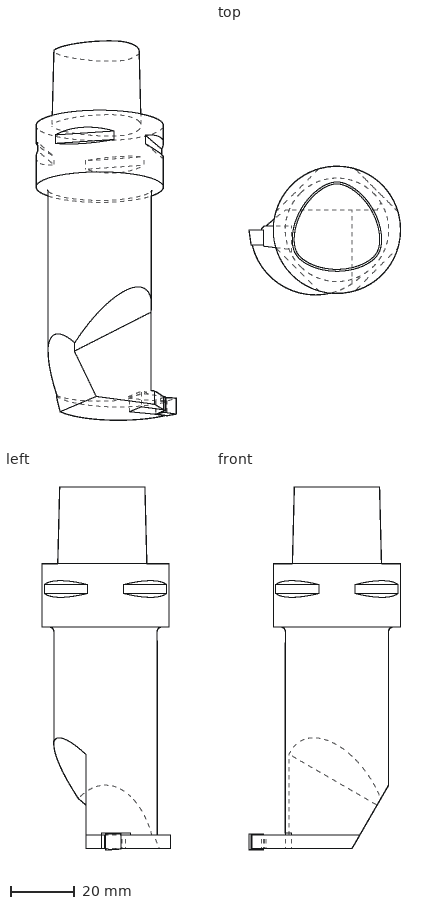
import cadquery as cq
import math

SHANK_TOP = 24.0
OVERALL_LENGTH = 114.0
TIP_BOTTOM = SHANK_TOP - OVERALL_LENGTH
FLANGE_HEIGHT = 20.0
PLATE_TOP = -85.2
PLATE_BOTTOM = -89.5

SHANK_DIAMETER = 28.0
LOBE_HEIGHT = 1.0
SHANK_TAPER = 1 / 20
LOBES = 3

FLANGE_DIAMETER = 40.0
COLUMN_DIAMETER = 32.5
COLUMN_RADIUS = COLUMN_DIAMETER / 2
NECK_FILLET = 1.4

NOTCH_COUNT = 4
NOTCH_FIRST_ANGLE = 45
NOTCH_FLOOR_RADIUS = 17.5
NOTCH_CENTER_Z = -8.0
NOTCH_FLOOR_HEIGHT = 2.7
NOTCH_RIM_HEIGHT = 5.2

FLAT_Y = 6.2
SLOPE_ANGLE = 60
SLOPE_TOP_Z = -69.5
RAMP_TOP_Z = -56.9
RAMP_TILT = 30
CUT_SIZE = 136.8

OVERALL_DEPTH = 40.5
PLATE_RADIUS = OVERALL_DEPTH - FLANGE_DIAMETER / 2
PLATE_CENTER_X = -6.7
HEEL_START = (-22.2, 1.3)
HEEL_MIDDLE = (-19.8, 3.3)
HEEL_END = (-16.2, FLAT_Y)

BLADE_TILT = 7
BLADE_OUTER_X = -23.0
BLADE_NOSE_X = -23.7
BLADE_INNER_X = -14.2
BLADE_UPPER_Y = 1.3
BLADE_LOWER_Y = -5.1
BLADE_CHAMFER = 0.9
SEAT_CLEARANCE = 0.7

OVERALL_WIDTH = 47.7
TIP_OUTER_X = FLANGE_DIAMETER / 2 - OVERALL_WIDTH
TIP_WIDTH = 4.8
TIP_SIDE_RELIEF = 0.7
TIP_TOP = -84.8
TIP_BOTTOM_RELIEF = 0.3
RAKE_START_X = -26.7
RAKE_DROP = 0.3


def shank_point(diameter, turn):
    """Point of a constant-width curve with three lobes, one of them towards +Y."""
    angle = 2 * math.pi * turn
    phase = LOBES * (angle - math.pi / 2)
    support = diameter / 2 + LOBE_HEIGHT * math.cos(phase)
    slope = -LOBES * LOBE_HEIGHT * math.sin(phase)
    x = support * math.cos(angle) - slope * math.sin(angle)
    y = support * math.sin(angle) + slope * math.cos(angle)
    return (x, y)


def shank():
    top_diameter = SHANK_DIAMETER - SHANK_TAPER * SHANK_TOP
    samples = 36
    base = [shank_point(SHANK_DIAMETER, i / samples) for i in range(samples)]
    top = [shank_point(top_diameter, i / samples) for i in range(samples)]
    return (
        cq.Workplane("XY").spline(base, periodic=True).close()
        .workplane(offset=SHANK_TOP).spline(top, periodic=True).close()
        .loft(ruled=True, combine=True)
    )


def gripper_notch(angle):
    depth = FLANGE_DIAMETER / 2 - NOTCH_FLOOR_RADIUS
    flare = (NOTCH_RIM_HEIGHT - NOTCH_FLOOR_HEIGHT) / 2
    mouth_radius = NOTCH_FLOOR_RADIUS + 2 * depth
    floor_half = NOTCH_FLOOR_HEIGHT / 2
    mouth_half = floor_half + 2 * flare
    return (
        cq.Workplane("XZ")
        .moveTo(NOTCH_FLOOR_RADIUS, NOTCH_CENTER_Z - floor_half)
        .lineTo(mouth_radius, NOTCH_CENTER_Z - mouth_half)
        .lineTo(mouth_radius, NOTCH_CENTER_Z + mouth_half)
        .lineTo(NOTCH_FLOOR_RADIUS, NOTCH_CENTER_Z + floor_half)
        .close()
        .extrude(FLANGE_DIAMETER / 2, both=True)
        .rotate((0, 0, 0), (0, 0, 1), angle)
    )


def flange():
    body = cq.Workplane("XY").circle(FLANGE_DIAMETER / 2).extrude(-FLANGE_HEIGHT)
    for i in range(NOTCH_COUNT):
        body = body.cut(gripper_notch(NOTCH_FIRST_ANGLE + i * 360 / NOTCH_COUNT))
    return body


def column():
    flange_bottom = -FLANGE_HEIGHT
    fillet_end = flange_bottom - NECK_FILLET
    fillet_center = (COLUMN_RADIUS + NECK_FILLET, fillet_end)
    fillet_reach = NECK_FILLET * math.sqrt(0.5)
    return (
        cq.Workplane("XZ")
        .moveTo(0, flange_bottom)
        .lineTo(COLUMN_RADIUS + NECK_FILLET, flange_bottom)
        .threePointArc(
            (fillet_center[0] - fillet_reach, fillet_center[1] + fillet_reach),
            (COLUMN_RADIUS, fillet_end),
        )
        .lineTo(COLUMN_RADIUS, PLATE_BOTTOM)
        .lineTo(0, PLATE_BOTTOM)
        .close()
        .revolve(360, (0, 0, 0), (0, 1, 0))
    )


def half_space(origin, normal):
    """Block that fills the side of a plane its normal points to."""
    plane = cq.Plane(origin=origin, normal=normal)
    return cq.Workplane(plane).rect(CUT_SIZE, CUT_SIZE).extrude(CUT_SIZE)


def slope_cut():
    angle = math.radians(SLOPE_ANGLE)
    return half_space((COLUMN_RADIUS, 0, SLOPE_TOP_Z), (math.sin(angle), 0, -math.cos(angle)))


def flat_cut():
    """Flat on the +Y side that runs out upwards along a 45 degree ramp."""
    tilt = math.radians(RAMP_TILT)
    ramp_normal = (-math.sin(tilt), 1, -math.cos(tilt))
    beside_flat = half_space((0, FLAT_Y, PLATE_TOP), (0, 1, 0))
    below_ramp = half_space((0, COLUMN_RADIUS, RAMP_TOP_Z), ramp_normal)
    return beside_flat.intersect(below_ramp)


def support_plate():
    disc_end_x = PLATE_CENTER_X + math.sqrt(PLATE_RADIUS ** 2 - FLAT_Y ** 2)
    outer_y = -TIP_WIDTH
    outer_x = PLATE_CENTER_X - math.sqrt(PLATE_RADIUS ** 2 - outer_y ** 2)
    return (
        cq.Workplane("XY", origin=(0, 0, PLATE_BOTTOM))
        .moveTo(outer_x, outer_y)
        .threePointArc((PLATE_CENTER_X, -PLATE_RADIUS), (disc_end_x, FLAT_Y))
        .lineTo(*HEEL_END)
        .threePointArc(HEEL_MIDDLE, HEEL_START)
        .lineTo(BLADE_OUTER_X, outer_y)
        .close()
        .extrude(PLATE_TOP - PLATE_BOTTOM)
    )


def blade_prism(bottom, top):
    side_shift = (BLADE_INNER_X - BLADE_OUTER_X) * math.tan(math.radians(BLADE_TILT))
    outline = [
        (BLADE_OUTER_X, -TIP_WIDTH),
        (BLADE_OUTER_X, BLADE_LOWER_Y),
        (BLADE_INNER_X, BLADE_LOWER_Y - side_shift),
        (BLADE_INNER_X, BLADE_UPPER_Y),
        (BLADE_NOSE_X + BLADE_CHAMFER, BLADE_UPPER_Y),
        (BLADE_NOSE_X, BLADE_UPPER_Y - BLADE_CHAMFER),
        (BLADE_NOSE_X, 0),
        (BLADE_OUTER_X, 0),
    ]
    return cq.Workplane("XY", origin=(0, 0, bottom)).polyline(outline).close().extrude(top - bottom)


def seat_slot():
    """Shallow slot in the column foot, just above the plate and open to -X."""
    length = COLUMN_RADIUS
    return (
        cq.Workplane("XY", origin=(BLADE_INNER_X - length / 2, 0, PLATE_TOP))
        .rect(length, COLUMN_DIAMETER)
        .extrude(SEAT_CLEARANCE)
        .intersect(half_space((0, BLADE_UPPER_Y, PLATE_TOP), (0, -1, 0)))
    )


def tip_blank():
    outline = [
        (TIP_OUTER_X, 0),
        (BLADE_OUTER_X, 0),
        (BLADE_OUTER_X, -TIP_WIDTH),
        (TIP_OUTER_X + TIP_SIDE_RELIEF, -TIP_WIDTH),
    ]
    return (
        cq.Workplane("XY", origin=(0, 0, TIP_BOTTOM))
        .polyline(outline).close()
        .extrude(TIP_TOP - TIP_BOTTOM)
    )


def cutting_tip():
    """Tip with its bottom relieved towards -Y and its inner top corner lowered by a rake facet."""
    bottom_relief = half_space((0, 0, TIP_BOTTOM), (0, -TIP_BOTTOM_RELIEF, -TIP_WIDTH))
    rake_run = BLADE_OUTER_X - RAKE_START_X
    rake_normal = (RAKE_DROP / rake_run, RAKE_DROP / TIP_WIDTH, 1)
    rake = half_space((RAKE_START_X, 0, TIP_TOP), rake_normal)
    return tip_blank().cut(bottom_relief).cut(rake)


blade = blade_prism(PLATE_BOTTOM, PLATE_TOP)
tip = cutting_tip()

holder = (
    shank()
    .union(flange())
    .union(column())
    .cut(flat_cut())
    .union(support_plate())
    .cut(slope_cut())
    .cut(seat_slot())
    .cut(blade)
    .cut(tip_blank())
)

result = cq.Compound.makeCompound([
    holder.solids().val(),
    blade.solids().val(),
    tip.solids().val(),
])